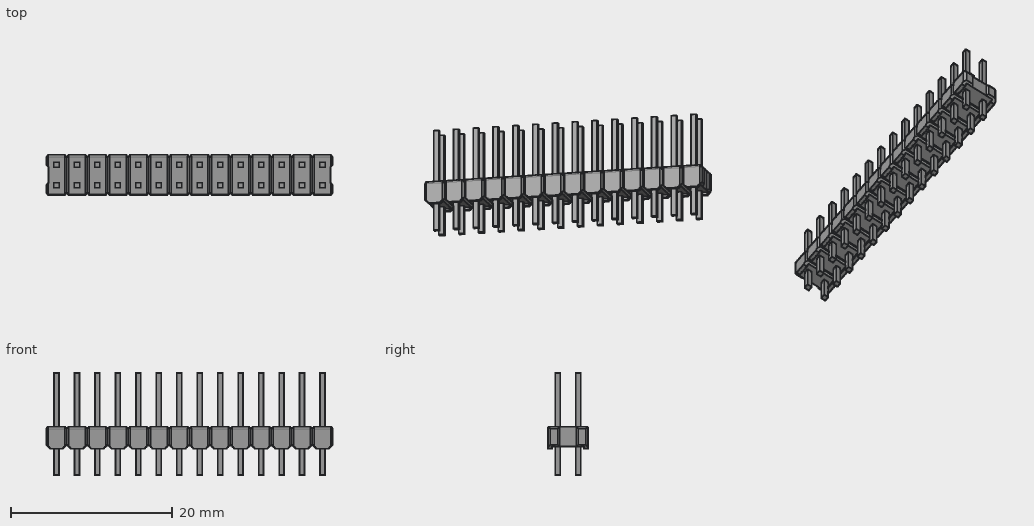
import cadquery as cq

columns = 14
rows = 2
body_length = 35.55
body_width = 5.0
pitch = body_length / columns

pin_height = 12.7
body_top = 6.0
body_bottom = 3.52
foot_bottom = 3.25

pin_side = 0.65
bevel = 0.25
corner_depth = 0.32
top_radius = 0.25
foot_thickness = 0.55
notch_floor_width = 2.03
notch_mouth_width = notch_floor_width + 2 * bevel


def column_positions():
    """X of each column, centred on the body."""
    return [(column - (columns - 1) / 2) * pitch for column in range(columns)]


def row_positions():
    """Y of each row, centred on the body."""
    return [(row - (rows - 1) / 2) * pitch for row in range(rows)]


def make_cell():
    """One bevelled housing cell, with a tapered foot along its front and back."""
    half_pitch = pitch / 2
    half_width = body_width / 2
    shoulder = body_top - bevel

    block = (
        cq.Workplane("XY")
        .workplane(offset=foot_bottom)
        .rect(pitch, body_width)
        .extrude(body_top - foot_bottom)
        .edges("|X and >Z")
        .fillet(top_radius)
    )

    plan_profile = (
        cq.Workplane("XY")
        .polyline([
            (half_pitch, -half_width + corner_depth),
            (half_pitch, half_width - corner_depth),
            (half_pitch - bevel, half_width),
            (-half_pitch + bevel, half_width),
            (-half_pitch, half_width - corner_depth),
            (-half_pitch, -half_width + corner_depth),
            (-half_pitch + bevel, -half_width),
            (half_pitch - bevel, -half_width),
        ])
        .close()
        .extrude(body_top)
    )

    taper = body_bottom - foot_bottom + bevel
    side_profile = (
        cq.Workplane("XZ")
        .polyline([
            (half_pitch, foot_bottom + taper),
            (half_pitch, shoulder),
            (half_pitch - bevel, body_top),
            (-half_pitch + bevel, body_top),
            (-half_pitch, shoulder),
            (-half_pitch, foot_bottom + taper),
            (-half_pitch + taper, foot_bottom),
            (half_pitch - taper, foot_bottom),
        ])
        .close()
        .extrude(half_width, both=True)
    )

    foot_gap = (
        cq.Workplane("XY")
        .workplane(offset=foot_bottom)
        .rect(pitch, body_width - 2 * foot_thickness)
        .extrude(body_bottom - foot_bottom)
    )
    return block.intersect(plan_profile).intersect(side_profile).cut(foot_gap)


def make_end_notch(side):
    """Full-height recess with sloped flanks; side is -1 or +1 along X."""
    outer_x = side * body_length / 2
    inner_x = outer_x - side * bevel
    return (
        cq.Workplane("XY")
        .moveTo(outer_x, -notch_mouth_width / 2)
        .lineTo(outer_x, notch_mouth_width / 2)
        .lineTo(inner_x, notch_floor_width / 2)
        .lineTo(inner_x, -notch_floor_width / 2)
        .close()
        .extrude(body_top)
    )


def make_pins():
    """Square pins through every cell, one per row."""
    centres = [(x, y) for x in column_positions() for y in row_positions()]
    return cq.Workplane("XY").pushPoints(centres).rect(pin_side, pin_side).extrude(pin_height)


cell = make_cell()
housing = cq.Workplane("XY")
for x in column_positions():
    housing = housing.union(cell.translate((x, 0, 0)))
for side in (-1, 1):
    housing = housing.cut(make_end_notch(side))

result = housing.union(make_pins())